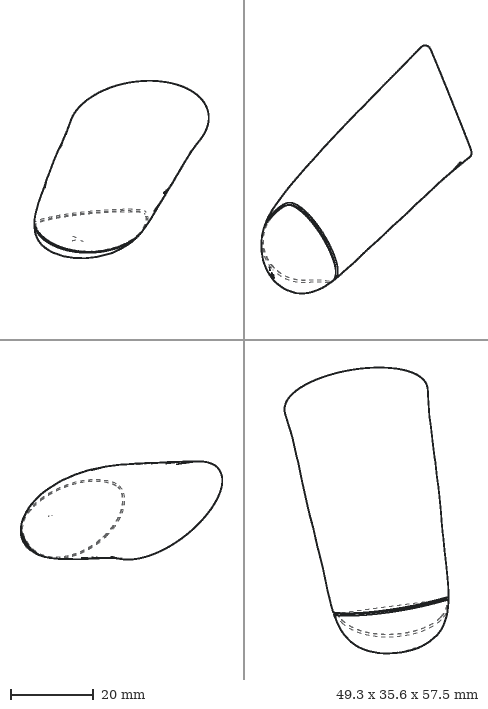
import cadquery as cq
import math

AXIS_ANGLE = 45.0

SECTIONS = [
    (2.6, 1.05, 0.1, 0.9),
    (2.95, 2.25, 1.45, 3.85),
    (4.05, 4.15, 4.0, 7.15),
    (6.05, 5.85, 6.05, 10.3),
    (9.2, 7.5, 7.8, 12.65),
    (14.1, 8.75, 8.9, 14.15),
    (22.15, 10.0, 9.2, 14.9),
    (38.3, 10.8, 8.65, 16.0),
    (55.25, 10.95, 8.1, 16.85),
    (66.2, 10.7, 8.4, 17.9),
    (77.7, 11.05, 8.75, 18.3),
]

END_X = 46.75
END_Z = 47.6
END_TILT = 15.2
RIM_RADIUS = 1.4

SEAM_START = (-4.6, 7.1)
SEAM_LEFT = (0.1, 8.05)
SEAM_SHOULDER = (6.9, 9.65)
SEAM_CREST = (9.65, 10.0)
SEAM_BEND = (12.4, 8.6)
SEAM_RIGHT = (17.15, 4.2)
SEAM_FINISH = (20.7, 0.8)
SEAM_POINTS = [SEAM_LEFT, SEAM_SHOULDER, SEAM_CREST, SEAM_BEND, SEAM_RIGHT, SEAM_FINISH]
SEAM_CHAMFER = 0.35

REACH = 86.35


def oval(distance, upper, lower, half_width):
    """Elliptical wire square to the leaning axis."""
    angle = math.radians(AXIS_ANGLE)
    along = cq.Vector(math.cos(angle), 0, math.sin(angle))
    across = cq.Vector(-math.sin(angle), 0, math.cos(angle))
    center = along * distance + across * ((upper - lower) / 2)
    plane = cq.Plane(origin=center, xDir=across, normal=along)
    half_height = (upper + lower) / 2
    return cq.Workplane(plane).ellipse(half_height, half_width).val()


def make_envelope():
    """Smooth finger shape with its slanted end face and rounded rim."""
    wires = [oval(*section) for section in SECTIONS]
    finger = cq.Workplane(cq.Solid.makeLoft(wires))
    tilt = math.radians(END_TILT)
    normal = (math.cos(tilt), 0, math.sin(tilt))
    end_plane = cq.Plane(origin=(END_X, 0, END_Z), xDir=(0, 1, 0), normal=normal)
    beyond = cq.Workplane(end_plane).rect(REACH, REACH).extrude(REACH)
    farthest = cq.selectors.DirectionMinMaxSelector(end_plane.zDir)
    return finger.cut(beyond).faces(farthest).edges().fillet(RIM_RADIUS)


def make_tip_region():
    """Everything below the curved seam, swept straight across Y."""
    return (
        cq.Workplane("XZ", origin=(0, REACH, 0))
        .moveTo(-REACH, SEAM_START[1])
        .lineTo(*SEAM_START)
        .spline(SEAM_POINTS, includeCurrent=True)
        .lineTo(REACH, -REACH)
        .lineTo(-REACH, -REACH)
        .close()
        .extrude(2 * REACH)
    )


def is_seam_edge(edge):
    """True for the edges across Y that lie within the height of the seam."""
    box = edge.BoundingBox()
    reaches_seam = box.zmax > SEAM_RIGHT[1] - SEAM_CHAMFER
    stays_low = box.zmax < SEAM_CREST[1] + SEAM_CHAMFER
    return box.ylen > SEAM_CHAMFER and reaches_seam and stays_low


def chamfer_seam(body):
    """Bevel one side of the V groove that runs round the seam."""
    return body.edges().filter(is_seam_edge).chamfer(SEAM_CHAMFER)


envelope = make_envelope()
tip_region = make_tip_region()
grip = chamfer_seam(envelope.cut(tip_region))
tip = chamfer_seam(envelope.intersect(tip_region))
result = cq.Compound.makeCompound([grip.val(), tip.val()])